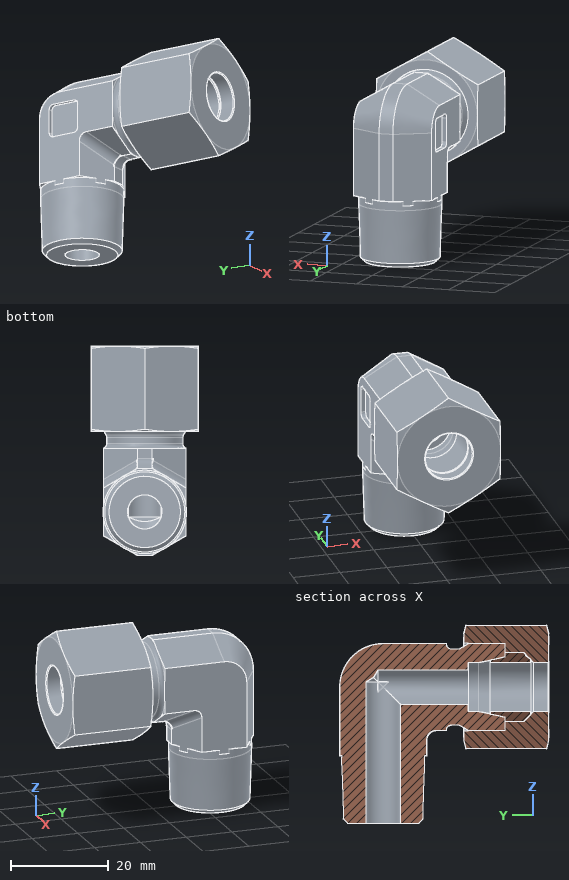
import cadquery as cq
import math


body_flats = 17.0
ridge_width = 3.0
half_flats = body_flats / 2
hex_angle = math.radians(30)
hex_slope = math.tan(hex_angle)
ridge_height = half_flats / math.cos(hex_angle) - ridge_width / 2 * hex_slope
side_height = half_flats * hex_slope
thread_leg_length = 14.1
tube_leg_length = 13.0
inner_fillet = 2.0

bore_diameter = 7.0
bore_overrun = 1.05
drill_tip_half_angle = math.radians(59)

thread_top_diameter = 17.13
thread_end_diameter = 16.38
thread_length = 12.0
thread_end = 28.0
thread_top = thread_end - thread_length
thread_chamfer = 0.9
flat_end = 15.0

recess_size = 7.0
recess_corner = 1.0
recess_depth = 1.0
recess_center = -1.0

neck_diameter = 15.7
neck_fillet = 1.0
neck_end = 15.3
runout_angle = math.radians(30)
union_thread_diameter = 18.0
tube_end = 25.0
tube_stop = 17.5
tube_diameter = 10.0
cone_mouth_diameter = 12.3
cone_half_angle = math.radians(12)

nut_flats = 22.0
nut_start = 16.5
nut_length = 17.5
nut_end = nut_start + nut_length
nut_corner_radius = nut_flats / 2 / math.cos(hex_angle)
nut_chamfer_angle = math.radians(15)
nut_chamfer = (nut_corner_radius - nut_flats / 2) * math.tan(nut_chamfer_angle)
nut_mouth_chamfer = 0.2
seat_end = 30.8

ring_flange_diameter = 14.0
seat_start = seat_end - (ring_flange_diameter - tube_diameter) / 2
ring_end_wall = 0.5
ring_end = seat_end - ring_end_wall


def leg_profile(plane):
    """Hexagon with its two ridges cut flat, drawn with the ridges along the local Y axis."""
    return (
        cq.Workplane(plane)
        .moveTo(half_flats, side_height)
        .lineTo(ridge_width / 2, ridge_height)
        .lineTo(-ridge_width / 2, ridge_height)
        .lineTo(-half_flats, side_height)
        .lineTo(-half_flats, -side_height)
        .lineTo(-ridge_width / 2, -ridge_height)
        .lineTo(ridge_width / 2, -ridge_height)
        .lineTo(half_flats, -side_height)
        .close()
    )


def turned_on_tube_axis(outline):
    """Revolve a closed outline of (radius, Y) drawn in the XY plane about the Y axis."""
    return outline.revolve(360, (0, 0, 0), (0, 1, 0))


def make_legs():
    tube_leg = leg_profile("XZ").extrude(tube_leg_length)
    thread_leg = leg_profile("XY").extrude(-thread_leg_length)
    outer_bend = (
        cq.Workplane("XZ")
        .moveTo(half_flats, 0)
        .lineTo(half_flats, side_height)
        .lineTo(ridge_width / 2, ridge_height)
        .lineTo(-ridge_width / 2, ridge_height)
        .lineTo(-half_flats, side_height)
        .lineTo(-half_flats, 0)
        .close()
        .revolve(90, (0, 0, 0), (-1, 0, 0))
    )
    legs = tube_leg.union(thread_leg).union(outer_bend)
    margin = 0.1
    near = -side_height - margin
    far = -ridge_height - margin
    inner_corner = cq.selectors.BoxSelector((-half_flats, far, far), (half_flats, near, near))
    return legs.edges(inner_corner).fillet(inner_fillet)


def make_thread_stub():
    top_radius = thread_top_diameter / 2
    end_radius = thread_end_diameter / 2
    chamfer_radius = end_radius + (top_radius - end_radius) * thread_chamfer / thread_length
    cone = (
        cq.Workplane("XZ")
        .moveTo(0, -flat_end)
        .lineTo(top_radius, -flat_end)
        .lineTo(top_radius, -thread_top)
        .lineTo(chamfer_radius, -thread_end + thread_chamfer)
        .lineTo(chamfer_radius - thread_chamfer, -thread_end)
        .lineTo(0, -thread_end)
        .close()
        .revolve(360, (0, 0, 0), (0, 1, 0))
    )
    collar_height = flat_end - thread_leg_length
    collar = cq.Workplane("XY").workplane(offset=-flat_end).circle(top_radius).extrude(collar_height)
    flats = leg_profile("XY").extrude(-flat_end)
    return cone.union(collar.intersect(flats))


def make_tube_spigot():
    neck_radius = neck_diameter / 2
    thread_radius = union_thread_diameter / 2
    arc_rise = neck_fillet * (1 - math.cos(runout_angle))
    arc_end = neck_end + neck_fillet * math.sin(runout_angle)
    runout_end = arc_end + (thread_radius - neck_radius - arc_rise) / math.tan(runout_angle)
    half = runout_angle / 2
    arc_middle = (
        neck_radius + neck_fillet * (1 - math.cos(half)),
        -neck_end - neck_fillet * math.sin(half),
    )
    return turned_on_tube_axis(
        cq.Workplane("XY")
        .moveTo(0, -tube_leg_length)
        .lineTo(neck_radius, -tube_leg_length)
        .lineTo(neck_radius, -neck_end)
        .threePointArc(arc_middle, (neck_radius + arc_rise, -arc_end))
        .lineTo(thread_radius, -runout_end)
        .lineTo(thread_radius, -tube_end)
        .lineTo(0, -tube_end)
        .close()
    )


def make_neck_fillet():
    """Concave flare from the neck to the end face of the tube leg, kept inside the hexagon."""
    neck_radius = neck_diameter / 2
    flare_end = tube_leg_length + neck_fillet
    diagonal = neck_fillet * (1 - math.sqrt(0.5))
    flare = turned_on_tube_axis(
        cq.Workplane("XY")
        .moveTo(0, -tube_leg_length)
        .lineTo(neck_radius + neck_fillet, -tube_leg_length)
        .threePointArc(
            (neck_radius + diagonal, -tube_leg_length - diagonal),
            (neck_radius, -flare_end),
        )
        .lineTo(0, -flare_end)
        .close()
    )
    return flare.intersect(leg_profile("XZ").extrude(flare_end))


def make_bore(length):
    """Drilled bore along -Z whose pointed end lies past the origin."""
    radius = bore_diameter / 2
    tip = bore_overrun + radius / math.tan(drill_tip_half_angle)
    return (
        cq.Workplane("XZ")
        .moveTo(0, tip)
        .lineTo(radius, bore_overrun)
        .lineTo(radius, -length)
        .lineTo(0, -length)
        .close()
        .revolve(360, (0, 0, 0), (0, 1, 0))
    )


def make_tube_socket():
    tube_radius = tube_diameter / 2
    mouth_radius = cone_mouth_diameter / 2
    cone_length = (mouth_radius - tube_radius) / math.tan(cone_half_angle)
    return turned_on_tube_axis(
        cq.Workplane("XY")
        .moveTo(0, -tube_stop)
        .lineTo(tube_radius, -tube_stop)
        .lineTo(tube_radius, -tube_end + cone_length)
        .lineTo(mouth_radius, -tube_end)
        .lineTo(0, -tube_end)
        .close()
    )


def make_recess():
    return (
        cq.Workplane("YZ")
        .workplane(offset=-half_flats)
        .center(recess_center, recess_center)
        .rect(recess_size, recess_size)
        .extrude(recess_depth)
        .edges("|X")
        .fillet(recess_corner)
    )


def make_elbow():
    solid = make_legs().union(make_thread_stub()).union(make_tube_spigot()).union(make_neck_fillet())
    thread_bore = make_bore(thread_end)
    tube_bore = make_bore(tube_end).rotate((0, 0, 0), (1, 0, 0), -90)
    return solid.cut(thread_bore).cut(tube_bore).cut(make_tube_socket()).cut(make_recess())


def make_nut():
    hexagon = (
        cq.Workplane("XZ")
        .workplane(offset=nut_start)
        .polygon(6, 2 * nut_corner_radius)
        .extrude(nut_length)
        .rotate((0, 0, 0), (0, 1, 0), math.degrees(hex_angle))
    )
    face_radius = nut_flats / 2
    chamfered_envelope = turned_on_tube_axis(
        cq.Workplane("XY")
        .moveTo(0, -nut_start)
        .lineTo(face_radius, -nut_start)
        .lineTo(nut_corner_radius, -nut_start - nut_chamfer)
        .lineTo(nut_corner_radius, -nut_end + nut_chamfer)
        .lineTo(face_radius, -nut_end)
        .lineTo(0, -nut_end)
        .close()
    )
    thread_radius = union_thread_diameter / 2
    tube_radius = tube_diameter / 2
    cavity = turned_on_tube_axis(
        cq.Workplane("XY")
        .moveTo(0, -nut_start)
        .lineTo(thread_radius, -nut_start)
        .lineTo(thread_radius, -tube_end)
        .lineTo(ring_flange_diameter / 2, -tube_end)
        .lineTo(ring_flange_diameter / 2, -seat_start)
        .lineTo(tube_radius, -seat_end)
        .lineTo(tube_radius, -nut_end + nut_mouth_chamfer)
        .lineTo(tube_radius + nut_mouth_chamfer, -nut_end)
        .lineTo(0, -nut_end)
        .close()
    )
    return hexagon.intersect(chamfered_envelope).cut(cavity)


def make_ring():
    tube_radius = tube_diameter / 2
    mouth_radius = cone_mouth_diameter / 2
    flange_radius = ring_flange_diameter / 2
    end_radius = tube_radius + ring_end_wall
    tip = tube_end - (mouth_radius - end_radius) / math.tan(cone_half_angle)
    return turned_on_tube_axis(
        cq.Workplane("XY")
        .moveTo(tube_radius, -tip)
        .lineTo(end_radius, -tip)
        .lineTo(mouth_radius, -tube_end)
        .lineTo(flange_radius, -tube_end)
        .lineTo(flange_radius, -seat_start)
        .lineTo(end_radius, -ring_end)
        .lineTo(tube_radius, -ring_end)
        .close()
    )


elbow = make_elbow()
nut = make_nut()
ring = make_ring()

result = cq.Compound.makeCompound([elbow.val(), nut.val(), ring.val()])